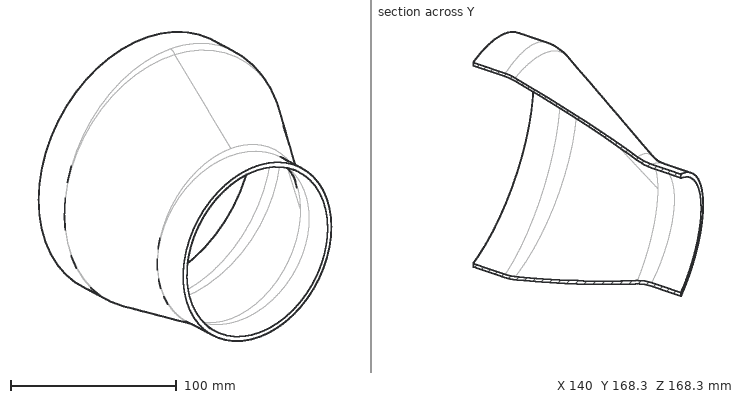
import cadquery as cq
import math

LENGTH = 140.0
LARGE_DIAMETER = 168.3
LARGE_BORE = 162.5
SMALL_DIAMETER = 114.3
COLLAR_LENGTH = 25.0
BEND_RADIUS = 25.0

BEND_SECTIONS = 5
HINGE_GAP = 1.7

WALL = (LARGE_DIAMETER - LARGE_BORE) / 2
SMALL_BORE = SMALL_DIAMETER - 2 * WALL
CONE_START = COLLAR_LENGTH
CONE_END = LENGTH - COLLAR_LENGTH
HINGE_Y = -LARGE_DIAMETER / 2 - HINGE_GAP


def plane_lean(hinge_x, top):
    """Change of x per unit of y in the plane from the hinge line to the point `top`."""
    return (top[0] - hinge_x) / (top[1] - HINGE_Y)


def flush_point(hinge_x, top, flush_y):
    """Point where the plane from the hinge line to `top` meets the flush side."""
    return hinge_x + plane_lean(hinge_x, top) * (flush_y - HINGE_Y), flush_y


def ellipse_between(hinge_x, top, flush_y, half_width):
    """Ellipse in a hinged plane, spanning from `top` to the flush side."""
    lean = plane_lean(hinge_x, top)
    bottom = flush_point(hinge_x, top, flush_y)
    half_height = math.dist(top, bottom) / 2
    center = cq.Vector((top[0] + bottom[0]) / 2, (top[1] + bottom[1]) / 2, 0)
    return cq.Wire.makeEllipse(half_height, half_width, center, cq.Vector(1, -lean, 0), cq.Vector(lean, 1, 0))


def straight_half_width(corner_x, diameter, slope, top, flush_y):
    """Half width in Z of a collar or cone, cut by the hinged plane through `top`."""
    bottom = flush_point(corner_x, top, flush_y)
    middle_x = (top[0] + bottom[0]) / 2
    middle_y = (top[1] + bottom[1]) / 2
    radius = (diameter + slope * (middle_x - corner_x)) / 2
    return math.sqrt(radius**2 - (middle_y - flush_y - radius) ** 2)


def bend_arc(corner, slope_before, slope_after):
    """Points along the arc that rounds the corner of the +Y outline."""
    angle_before = math.atan(slope_before)
    turn = math.atan(slope_after) - angle_before
    signed_radius = math.copysign(BEND_RADIUS, turn)
    tangent_length = BEND_RADIUS * math.tan(abs(turn) / 2)
    start_x = corner[0] - tangent_length * math.cos(angle_before)
    start_y = corner[1] - tangent_length * math.sin(angle_before)
    points = []
    for index in range(BEND_SECTIONS):
        angle = angle_before + turn * index / (BEND_SECTIONS - 1)
        x = start_x + signed_radius * (math.sin(angle) - math.sin(angle_before))
        y = start_y + signed_radius * (math.cos(angle_before) - math.cos(angle))
        points.append((x, y))
    return points


def bend_sections(corner_x, diameter, slope_before, slope_after, flush_y):
    """Ellipses of the bend where the collar of this diameter meets the cone."""
    tops = bend_arc((corner_x, flush_y + diameter), slope_before, slope_after)
    width_before = straight_half_width(corner_x, diameter, slope_before, tops[0], flush_y)
    width_after = straight_half_width(corner_x, diameter, slope_after, tops[-1], flush_y)
    width_corner = diameter / 2
    sections = []
    for index, top in enumerate(tops):
        t = index / (BEND_SECTIONS - 1)
        half_width = (1 - t) ** 2 * width_before + 2 * t * (1 - t) * width_corner + t**2 * width_after
        sections.append(ellipse_between(corner_x, top, flush_y, half_width))
    return sections


def pipe_end(x, diameter, flush_y):
    """Circle across the axis at a pipe end, starting at +Y like the bend ellipses."""
    radius = diameter / 2
    center = cq.Vector(x, flush_y + radius, 0)
    return cq.Wire.makeEllipse(radius, radius, center, cq.Vector(1, 0, 0), cq.Vector(0, 1, 0))


def reducer_body(large_diameter, small_diameter):
    """Solid made of collar, bend, oblique cone, bend and collar."""
    flush_y = -large_diameter / 2
    cone_slope = (small_diameter - large_diameter) / (CONE_END - CONE_START)
    large_bend = bend_sections(CONE_START, large_diameter, 0, cone_slope, flush_y)
    small_bend = bend_sections(CONE_END, small_diameter, cone_slope, 0, flush_y)
    large_end = pipe_end(0, large_diameter, flush_y)
    small_end = pipe_end(LENGTH, small_diameter, flush_y)

    body = cq.Workplane(obj=cq.Solid.makeLoft([large_end, large_bend[0]], ruled=True))
    body = body.union(cq.Workplane(obj=cq.Solid.makeLoft(large_bend)))
    body = body.union(cq.Workplane(obj=cq.Solid.makeLoft([large_bend[-1], small_bend[0]], ruled=True)))
    body = body.union(cq.Workplane(obj=cq.Solid.makeLoft(small_bend)))
    return body.union(cq.Workplane(obj=cq.Solid.makeLoft([small_bend[-1], small_end], ruled=True)))


outside = reducer_body(LARGE_DIAMETER, SMALL_DIAMETER)
bore = reducer_body(LARGE_BORE, SMALL_BORE)
result = outside.cut(bore)